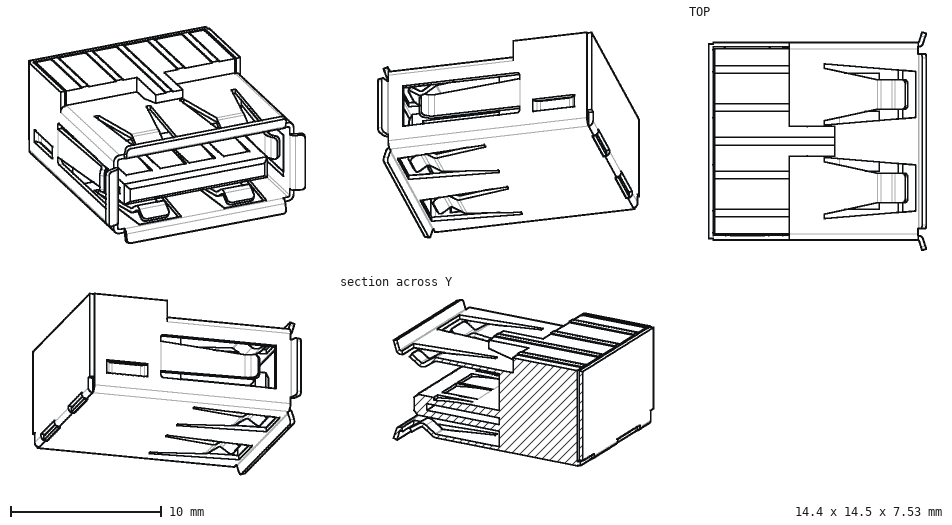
import cadquery as cq
import math

total_length = 14.44
total_width = 14.48
total_height = 7.53
shell_width = 13.1
sheet = 0.3
length_tolerance = 1e-4
bend_inside = 0.12
bend_outside = bend_inside + sheet

flare_angle = 72
flare_inside_radius = 0.05
flare_reach = (total_width - shell_width) / 2
flare_rise_in_bend = flare_inside_radius * (1 - math.cos(math.radians(flare_angle)))
flare_leg = (flare_reach - flare_rise_in_bend) / math.sin(math.radians(flare_angle))
flare_depth = ((flare_inside_radius + sheet) * math.sin(math.radians(flare_angle))
               + flare_leg * math.cos(math.radians(flare_angle)))
flare_root = 0.1
flare_corner_radius = 0.25
wide_flare_width = 11.58
side_flare_width = 4.0

shell_length = total_length - flare_depth
shell_height = 5.73
roof_start = 5.34
rib_height = 0.06
rear_top = total_height - flare_reach - rib_height
rear_plate_inset = 0.1
rear_plate_width = shell_width - 2 * rear_plate_inset
rear_tail_width = 12.14
rear_tail_height = 1.02
rear_bend_radius = 0.35

housing_rear = 0.42
housing_front = 6.41
housing_width = 12.26
rib_width = 0.5
rib_centres = (-4.75, -2.25, 0, 2.25, 4.75)
nose_width = 1.97
nose_tip = 8.35
nose_tip_thickness = 0.6
nose_slope_start = 6.53
foot_inner = 1.57
foot_outer = 4.61
foot_opening_height = 0.45
foot_top = 0.35
foot_rear = 0.2
foot_bottom = 0.06

tongue_tip = 12.88
tongue_width = 10.4
tongue_bottom = 1.36
tongue_top = 2.87
tongue_chamfer = 0.3
slot_bottom = 1.86
slot_top = 2.3
slot_front = 11.87
recess_start = 8.67
recess_front = 11.33
recess_depth = 0.2
recess_width = 1.9
recess_centres = (-3.55, -1.05, 1.05, 3.55)

wide_spring_centre = 3.1
wide_slit_start = 7.66
wide_slit_end = 13.73
wide_slit_start_half = 2.03
wide_slit_end_half = 1.52
wide_spring_root_half = 1.74
wide_spring_tip_half = 0.98
wide_spring_bend = 11.18
wide_spring_angle = 34
wide_spring_slope = 0.86
wide_spring_valley_radius = 0.2
wide_spring_tail = 0.83

window_start = 4.9
window_end = 12.88
window_half = 1.5
side_spring_root_half = 1.03
side_spring_tip_half = 0.79
side_spring_lean = 4
side_spring_tail_angle = 36
side_spring_straight_end = 10.84
side_spring_valley_radius = 0.6
side_spring_tail = 0.5
spring_tip_radius = 0.28
window_corner_radius = 0.2

bridge_start = 1.15
bridge_end = 3.99
bridge_window_width = 0.9
bridge_width = 0.8
bridge_centre_z = 1.78
bridge_angle = 45
bridge_ramp = 0.28
bridge_inside_radius = 0.34

ROOF, FRONT_SIDE, FLOOR, BACK_SIDE = 0, 90, 180, 270


def box(x0, x1, y0, y1, z0, z1):
    return cq.Workplane("XY").box(x1 - x0, y1 - y0, z1 - z0, centered=False).translate((x0, y0, z0))


def on_wall(shape, wall):
    """Move a shape whose outer skin lies on Z = 0 to the outer skin of a shell wall."""
    reach = shell_height / 2 if wall in (ROOF, FLOOR) else shell_width / 2
    turned = shape.translate((0, 0, reach)).rotate((0, 0, 0), (1, 0, 0), wall)
    return turned.translate((0, 0, shell_height / 2))


def bent_strip(start_x, heading, steps, width):
    """Sheet strip that starts at (start_x, 0) in XZ and follows (length, turn, inside radius) steps.

    The path is the outer skin; a positive turn bends it outward. The sheet lies below the path.
    """
    angle = math.radians(heading)
    x, z = start_x, 0.0

    def skin_pair(px, pz, direction):
        inner = (px + sheet * math.sin(direction), pz - sheet * math.cos(direction))
        return (px, pz), inner

    stations = [(skin_pair(x, z, angle), None)]
    for length, turn, inside_radius in steps:
        x += length * math.cos(angle)
        z += length * math.sin(angle)
        stations.append((skin_pair(x, z, angle), None))
        if turn == 0:
            continue
        side = math.copysign(1, turn)
        radius = inside_radius if turn > 0 else inside_radius + sheet
        centre_x = x - side * radius * math.sin(angle)
        centre_z = z + side * radius * math.cos(angle)
        arc_pairs = []
        for share in (0.5, 1.0):
            direction = angle + share * math.radians(turn)
            px = centre_x + side * radius * math.sin(direction)
            pz = centre_z - side * radius * math.cos(direction)
            arc_pairs.append(skin_pair(px, pz, direction))
        stations.append((arc_pairs[1], arc_pairs[0]))
        (x, z), _ = arc_pairs[1]
        angle += math.radians(turn)

    outline = cq.Workplane("XZ").moveTo(*stations[0][0][0])
    for pair, middle in stations[1:]:
        if middle:
            outline = outline.threePointArc(middle[0], pair[0])
        else:
            outline = outline.lineTo(*pair[0])
    outline = outline.lineTo(*stations[-1][0][1])
    for index in range(len(stations) - 1, 0, -1):
        middle = stations[index][1]
        target = stations[index - 1][0][1]
        if middle:
            outline = outline.threePointArc(middle[1], target)
        else:
            outline = outline.lineTo(*target)
    return outline.close().extrude(width / 2, both=True)


def round_tip(strip, radius):
    """Round the two corners of the free end of a strip."""
    tip_x = strip.val().BoundingBox().xmax

    def is_tip_corner(edge):
        return abs(edge.Length() - sheet) < length_tolerance and edge.Center().x > tip_x - sheet

    return strip.edges().filter(is_tip_corner).fillet(radius)


def tapered_spring(strip, root_x, root_half, bend_x, tip_half):
    """Trim a strip to a plan that tapers from its root to its bend and then stays parallel."""
    plan = cq.Workplane("XY").polyline([
        (root_x, -root_half), (bend_x, -tip_half), (total_length, -tip_half),
        (total_length, tip_half), (bend_x, tip_half), (root_x, root_half),
    ]).close().extrude(shell_height, both=True)
    return round_tip(strip.intersect(plan), spring_tip_radius)


def wide_spring():
    steps = [
        (wide_spring_bend - wide_slit_start, -wide_spring_angle, bend_inside),
        (wide_spring_slope, 2 * wide_spring_angle, wide_spring_valley_radius),
        (wide_spring_tail, 0, 0),
    ]
    strip = bent_strip(wide_slit_start, 0, steps, 2 * wide_spring_root_half)
    return tapered_spring(strip, wide_slit_start, wide_spring_root_half,
                          wide_spring_bend, wide_spring_tip_half)


def wide_slit():
    plan = cq.Workplane("XY").polyline([
        (wide_slit_start, -wide_slit_start_half), (wide_slit_end, -wide_slit_end_half),
        (wide_slit_end, wide_slit_end_half), (wide_slit_start, wide_slit_start_half),
    ]).close()
    return plan.extrude(-sheet)


def side_spring():
    straight = (side_spring_straight_end - window_start) / math.cos(math.radians(side_spring_lean))
    steps = [
        (straight, side_spring_lean + side_spring_tail_angle, side_spring_valley_radius),
        (side_spring_tail, 0, 0),
    ]
    strip = bent_strip(window_start, -side_spring_lean, steps, 2 * side_spring_root_half)
    return tapered_spring(strip, window_start, side_spring_root_half,
                          side_spring_straight_end, side_spring_tip_half)


def side_window():
    window = box(window_start, window_end, -window_half, window_half, -sheet, 0)
    return window.edges("|Z and <X").fillet(window_corner_radius)


def bridge():
    turn = math.radians(bridge_angle)
    skin_bend_run = bridge_inside_radius * math.sin(turn)
    ramp_run = bridge_ramp * math.cos(turn)
    floor_length = bridge_end - bridge_start - 2 * (ramp_run + skin_bend_run)
    steps = [
        (bridge_ramp, bridge_angle, bridge_inside_radius),
        (floor_length, bridge_angle, bridge_inside_radius),
        (bridge_ramp, 0, 0),
    ]
    return bent_strip(bridge_start, -bridge_angle, steps, bridge_width)


def flare(width):
    steps = [(flare_root, flare_angle, flare_inside_radius), (flare_leg, 0, 0)]
    strip = bent_strip(shell_length - flare_root, 0, steps, width)
    return round_tip(strip, flare_corner_radius)


def shell_body():
    def round_cornered_block(width, bottom, top, radius):
        block = box(roof_start, shell_length, -width / 2, width / 2, bottom, top)
        return block.edges("|X").fillet(radius)

    inner_width = shell_width - 2 * sheet
    front = round_cornered_block(shell_width, 0, shell_height, bend_outside)
    front = front.cut(round_cornered_block(inner_width, sheet, shell_height - sheet, bend_inside))

    rear = box(sheet, roof_start, -shell_width / 2, shell_width / 2, 0, rear_top)
    rear = rear.edges("|X and <Z").fillet(bend_outside)
    cavity = box(sheet, roof_start, -inner_width / 2, inner_width / 2, sheet, rear_top)
    rear = rear.cut(cavity.edges("|X and <Z").fillet(bend_inside))
    return front.union(rear)


def rear_plate():
    plate = box(0, sheet, -rear_plate_width / 2, rear_plate_width / 2, rear_tail_height, rear_top)
    tail = box(0, housing_rear, -rear_tail_width / 2, rear_tail_width / 2, 0, rear_tail_height)
    tail = tail.edges("|Y and <X and <Z").fillet(rear_bend_radius)
    tail = tail.cut(box(sheet, housing_rear, -rear_tail_width / 2, rear_tail_width / 2,
                        sheet, rear_tail_height))
    return plate.union(tail)


def housing():
    half = housing_width / 2
    body = box(housing_rear, roof_start, -half, half, sheet, rear_top)
    body = body.union(box(roof_start, housing_front, -half, half, sheet, shell_height - sheet))
    nose = cq.Workplane("XZ").polyline([
        (roof_start, shell_height), (nose_slope_start, shell_height),
        (nose_tip, rear_top - nose_tip_thickness), (nose_tip, rear_top), (roof_start, rear_top),
    ]).close().extrude(nose_width / 2, both=True)
    body = body.union(nose)
    for centre in rib_centres:
        rib_end = nose_tip if centre == 0 else roof_start
        body = body.union(box(housing_rear, rib_end, centre - rib_width / 2, centre + rib_width / 2,
                              rear_top, rear_top + rib_height))
    return body


def foot_box(side, x0, z0, z1):
    y0, y1 = sorted((side * foot_inner, side * foot_outer))
    return box(x0, housing_rear, y0, y1, z0, z1)


def tongue():
    half = tongue_width / 2
    body = box(housing_front, tongue_tip, -half, half, tongue_bottom, tongue_top)
    body = body.faces(">X").chamfer(tongue_chamfer)
    body = body.cut(box(housing_front, slot_front, -half, half, slot_bottom, slot_top))
    run = recess_front - recess_start
    radius = (run ** 2 + recess_depth ** 2) / (2 * recess_depth)
    half_sweep = math.asin(run / radius) / 2
    middle = (recess_start + radius * math.sin(half_sweep),
              tongue_top - radius * (1 - math.cos(half_sweep)))
    recess = (cq.Workplane("XZ").moveTo(recess_start, tongue_top)
              .threePointArc(middle, (recess_front, tongue_top - recess_depth))
              .lineTo(recess_front, tongue_top).close().extrude(recess_width / 2, both=True))
    for centre in recess_centres:
        body = body.cut(recess.translate((0, centre, 0)))
    return body


def add_side_wall_features(part):
    bridge_offset = bridge_centre_z - shell_height / 2
    half_window = bridge_window_width / 2
    bridge_window = box(bridge_start, bridge_end, -half_window, half_window, -sheet, 0)
    for wall, up in ((FRONT_SIDE, 1), (BACK_SIDE, -1)):
        shift = (0, up * bridge_offset, 0)
        part = part.cut(on_wall(side_window(), wall))
        part = part.cut(on_wall(bridge_window.translate(shift), wall))
        part = part.union(on_wall(side_spring(), wall))
        part = part.union(on_wall(bridge().translate(shift), wall))
        part = part.union(on_wall(flare(side_flare_width), wall))
    return part


def add_roof_and_floor_features(part):
    for wall in (ROOF, FLOOR):
        for side in (-1, 1):
            shift = (0, side * wide_spring_centre, 0)
            part = part.cut(on_wall(wide_slit().translate(shift), wall))
            part = part.union(on_wall(wide_spring().translate(shift), wall))
        part = part.union(on_wall(flare(wide_flare_width), wall))
    return part


def build():
    part = shell_body().union(rear_plate())
    for side in (-1, 1):
        part = part.cut(foot_box(side, 0, 0, foot_opening_height))
    part = add_side_wall_features(part)
    part = add_roof_and_floor_features(part)
    part = part.union(housing()).union(tongue())
    for side in (-1, 1):
        part = part.union(foot_box(side, foot_rear, foot_bottom, foot_top))
    return part


result = build()